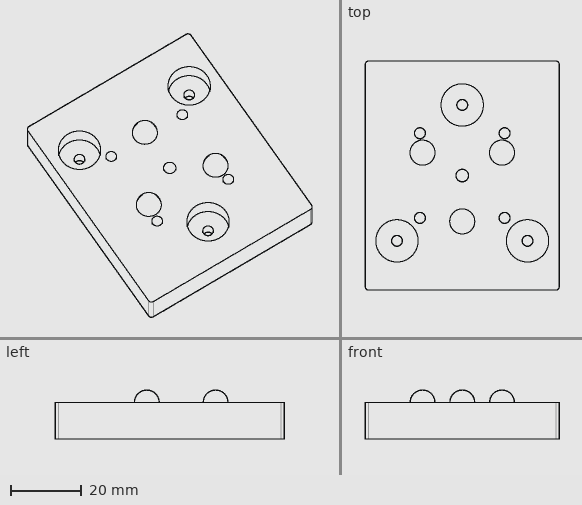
import cadquery as cq
import math

plate_width = 55.0
plate_length = 65.0
plate_thickness = 10.4
corner_radius = 1.0
overall_height = 13.95

dome_radius = overall_height - plate_thickness
dome_circle_radius = 13.0
dome_angles = (30, 150, 270)

centre_hole_diameter = 3.5
corner_hole_diameter = 3.05
corner_hole_pitch = 24.0
holes_per_side = 2

screw_hole_diameter = 3.0
counterbore_diameter = 12.0
counterbore_depth = 6.1
rear_screw_y = 20.0
front_screw_offset = 18.5
screw_points = [
    (0, rear_screw_y),
    (-front_screw_offset, -front_screw_offset),
    (front_screw_offset, -front_screw_offset),
]


def make_plate():
    """Rectangular plate with its underside on Z = 0 and rounded upright edges."""
    plate = cq.Workplane("XY").box(plate_width, plate_length, plate_thickness, centered=(True, True, False))
    return plate.edges("|Z").fillet(corner_radius)


def drill_holes(body):
    """Centre hole and a square pattern of four smaller holes, all through."""
    body = body.faces(">Z").workplane(origin=(0, 0, 0)).hole(centre_hole_diameter)
    corner_pattern = body.faces(">Z").workplane(origin=(0, 0, 0)).rarray(
        corner_hole_pitch, corner_hole_pitch, holes_per_side, holes_per_side
    )
    return corner_pattern.hole(corner_hole_diameter)


def counterbore_screw_holes(body):
    """Three through holes with wide flat-bottomed counterbores from the top."""
    top = body.faces(">Z").workplane(origin=(0, 0, 0))
    return top.pushPoints(screw_points).cboreHole(
        screw_hole_diameter, counterbore_diameter, counterbore_depth
    )


def add_domes(body):
    """Balls centred on the top face, so that their upper halves stand proud."""
    for angle in dome_angles:
        x = dome_circle_radius * math.cos(math.radians(angle))
        y = dome_circle_radius * math.sin(math.radians(angle))
        ball = cq.Workplane("XY").sphere(dome_radius).translate((x, y, plate_thickness))
        body = body.union(ball)
    return body


result = add_domes(counterbore_screw_holes(drill_holes(make_plate())))